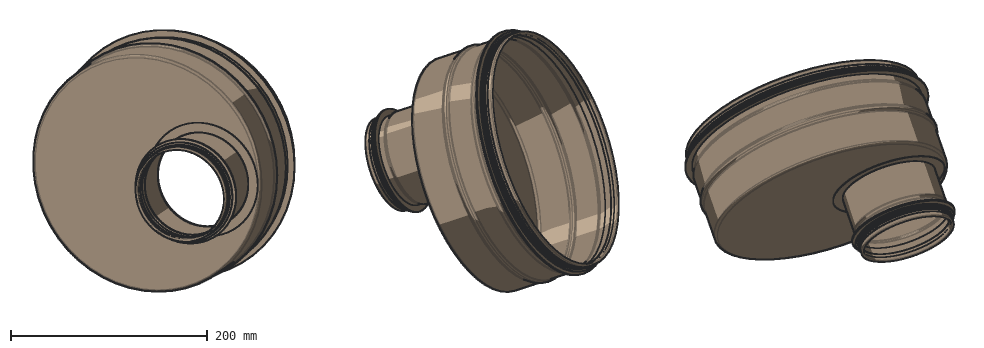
import cadquery as cq
import math


DRUM_DIAMETER = 249.0
DRUM_LENGTH = 96.5
SPIGOT_DIAMETER = 99.0
SPIGOT_LENGTH = 63.0
SPIGOT_OFFSET = 61.5
SHEET = 0.6

FACE_CORNER_RADIUS = 2.9
FLANGE_DIAMETER = 119.0

BEAD_CENTRE = 41.2
BEAD_HALF_WIDTH = 4.0
BEAD_SLOPE = math.radians(33)
BEAD_CROWN_RADIUS = 3.0
BEAD_FOOT_RADIUS = 1.0

RIM_WIDTH = 2.9
RIM_LENGTH = 5.2
RIM_BORE_LENGTH = 8.3
GROOVE_DEPTH = 1.8
RAMP_START = 22.0
RAMP_END = 25.2
BEND_INSIDE_RADIUS = 1.3
BEND_OUTSIDE_RADIUS = BEND_INSIDE_RADIUS + SHEET

SEAL_END = 15.8
SEAL_HEIGHT = 1.3
SHOULDER_START = 7.8
SHOULDER_END = 12.5
SHOULDER_HEIGHT = 2.3
SHOULDER_CHAMFER = 0.8
LIP_THICKNESS = 1.5
SHORT_LIP_START = 10.0
SHORT_LIP_OVERSIZE = 5.5
LONG_LIP_OVERSIZE = 10.5


def revolve_outline(corners):
    """Revolve a closed outline about Y. Each corner is (radius, y, corner rounding)."""
    trims = []
    count = len(corners)
    for i, (x, y, rounding) in enumerate(corners):
        before = cq.Vector(*corners[i - 1][:2])
        after = cq.Vector(*corners[(i + 1) % count][:2])
        corner = cq.Vector(x, y)
        if rounding == 0:
            trims.append((corner, None, corner))
            continue
        back = (before - corner).normalized()
        ahead = (after - corner).normalized()
        half_angle = back.getAngle(ahead) / 2
        reach = rounding / math.tan(half_angle)
        gap = rounding / math.sin(half_angle) - rounding
        middle = corner + (back + ahead).normalized() * gap
        trims.append((corner + back * reach, middle, corner + ahead * reach))

    edges = []
    for i, (start, middle, end) in enumerate(trims):
        previous_end = trims[i - 1][2]
        if (start - previous_end).Length > 2.59e-06:
            edges.append(cq.Edge.makeLine(previous_end, start))
        if middle is not None:
            edges.append(cq.Edge.makeThreePointArc(start, middle, end))
    outline = cq.Wire.assembleEdges(edges)
    axis_start = cq.Vector(0, 0, 0)
    axis_end = cq.Vector(0, 1, 0)
    return cq.Workplane(cq.Solid.revolve(outline, [], 360, axis_start, axis_end).clean())


def connection_end(diameter, open_end, inward):
    """Corners of a connection end, from its outer wall round the rim to its inner wall.

    inward is the Y direction (+1 or -1) from the open end into the pipe.
    """
    outer = diameter / 2
    groove = outer - GROOVE_DEPTH
    rim_bore = outer - RIM_WIDTH
    rim_rounding = RIM_WIDTH / 2
    ramp_start = open_end + inward * RAMP_START
    ramp_end = open_end + inward * RAMP_END
    rim_shoulder = open_end + inward * RIM_LENGTH
    bore_step = open_end + inward * RIM_BORE_LENGTH
    return [
        (outer, ramp_end, BEND_OUTSIDE_RADIUS),
        (groove, ramp_start, BEND_INSIDE_RADIUS),
        (groove, rim_shoulder, 0),
        (outer, rim_shoulder, 0),
        (outer, open_end, rim_rounding),
        (rim_bore, open_end, rim_rounding),
        (rim_bore, bore_step, 0),
        (groove - SHEET, bore_step, 0),
        (groove - SHEET, ramp_start, BEND_OUTSIDE_RADIUS),
        (outer - SHEET, ramp_end, BEND_INSIDE_RADIUS),
    ]


def bead(wall, half_width, foot_radius, crown_radius):
    """Corners of one side of the bead sheet, from the end face towards the open end."""
    return [
        (wall, BEAD_CENTRE - half_width, foot_radius),
        (wall + half_width * math.tan(BEAD_SLOPE), BEAD_CENTRE, crown_radius),
        (wall, BEAD_CENTRE + half_width, foot_radius),
    ]


def make_drum():
    outer = DRUM_DIAMETER / 2
    inner = outer - SHEET
    inner_half_width = BEAD_HALF_WIDTH - SHEET * math.tan(BEAD_SLOPE / 2)
    inner_foot = BEAD_FOOT_RADIUS + SHEET
    inner_crown = BEAD_CROWN_RADIUS - SHEET
    outer_bead = bead(outer, BEAD_HALF_WIDTH, BEAD_FOOT_RADIUS, BEAD_CROWN_RADIUS)
    inner_bead = bead(inner, inner_half_width, inner_foot, inner_crown)
    shell = revolve_outline([
        (0, 0, 0),
        (outer, 0, FACE_CORNER_RADIUS),
        *outer_bead,
        *connection_end(DRUM_DIAMETER, DRUM_LENGTH, -1),
        *reversed(inner_bead),
        (inner, SHEET, FACE_CORNER_RADIUS - SHEET),
        (0, SHEET, 0),
    ])
    flange_seat = cq.Workplane("XZ").center(SPIGOT_OFFSET, 0).circle(FLANGE_DIAMETER / 2).extrude(-SHEET)
    return shell.cut(flange_seat)


def make_spigot():
    outer = SPIGOT_DIAMETER / 2
    flange = FLANGE_DIAMETER / 2
    spigot = revolve_outline([
        (outer - SHEET, SHEET, 0),
        (flange, SHEET, 0),
        (flange, 0, 0),
        (outer, 0, 0),
        *connection_end(SPIGOT_DIAMETER, -SPIGOT_LENGTH, 1),
    ])
    return spigot.translate((SPIGOT_OFFSET, 0, 0))


def make_seal(pipe_diameter, open_end, inward):
    """Seal around the groove of a connection end, with a short and a long lip."""
    floor = pipe_diameter / 2 - GROOVE_DEPTH
    base = floor + SEAL_HEIGHT
    shoulder = floor + SHOULDER_HEIGHT
    short_lip = (pipe_diameter + SHORT_LIP_OVERSIZE) / 2
    long_lip = (pipe_diameter + LONG_LIP_OVERSIZE) / 2
    profile = [
        (floor, RIM_LENGTH),
        (base, RIM_LENGTH),
        (base, SHOULDER_START),
        (shoulder, SHOULDER_START + SHOULDER_CHAMFER),
        (shoulder, SHORT_LIP_START),
        (short_lip, SHORT_LIP_START),
        (short_lip, SHORT_LIP_START + LIP_THICKNESS),
        (shoulder, SHORT_LIP_START + LIP_THICKNESS),
        (base, SHOULDER_END),
        (base, SEAL_END - LIP_THICKNESS),
        (long_lip, SEAL_END - LIP_THICKNESS),
        (long_lip, SEAL_END),
        (floor, SEAL_END),
    ]
    return revolve_outline([(radius, open_end + inward * depth, 0) for radius, depth in profile])


drum = make_drum()
spigot = make_spigot()
drum_seal = make_seal(DRUM_DIAMETER, DRUM_LENGTH, -1)
spigot_seal = make_seal(SPIGOT_DIAMETER, -SPIGOT_LENGTH, 1).translate((SPIGOT_OFFSET, 0, 0))

result = cq.Compound.makeCompound([drum.val(), spigot.val(), drum_seal.val(), spigot_seal.val()])